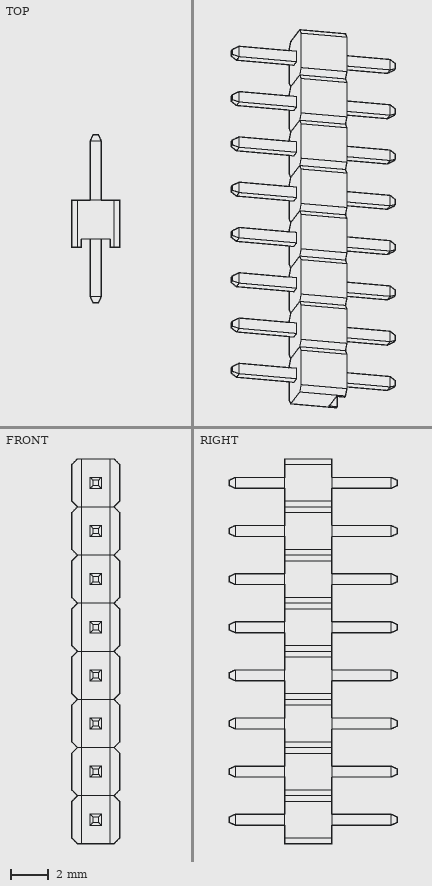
import cadquery as cq

contact_count = 8
row_length = 20.32
pitch = row_length / contact_count

block_side = pitch
block_depth = 2.5
corner_bevel = 0.3

channel_width = 1.52
channel_depth = 0.45

pin_side = 0.59
pin_length = 8.88
front_reach = 2.93
tip_length = 0.33
tip_side = 0.28

pin_front = -front_reach
pin_back = pin_front + pin_length


def make_block():
    """Bevelled square block with the channel cut in its front face."""
    block = (
        cq.Workplane("XY")
        .box(block_side, block_depth, block_side, centered=(True, False, True))
        .edges("|Y")
        .chamfer(corner_bevel)
    )
    channel = cq.Workplane("XY").box(
        channel_width, channel_depth, block_side, centered=(True, False, True)
    )
    return block.cut(channel)


def make_pin():
    """Square shank tapered at both ends: one tapered outline seen along Z, crossed with the same along X."""
    shank_front = pin_front + tip_length
    shank_back = pin_back - tip_length
    half_outline = [
        (tip_side / 2, pin_front),
        (pin_side / 2, shank_front),
        (pin_side / 2, shank_back),
        (tip_side / 2, pin_back),
    ]
    other_half = [(-x, y) for x, y in reversed(half_outline)]
    bar = (
        cq.Workplane("XY")
        .polyline(half_outline + other_half)
        .close()
        .extrude(pin_side / 2, both=True)
    )
    turned_bar = bar.rotate((0, 0, 0), (0, 1, 0), 90)
    return bar.intersect(turned_bar)


def make_contact(index):
    """One-piece block and pin at the given place in the row, counted from the bottom."""
    center_z = (index + 0.5) * pitch - row_length / 2
    return make_block().union(make_pin()).translate((0, 0, center_z))


contacts = [make_contact(index) for index in range(contact_count)]

result = cq.Compound.makeCompound([contact.solids().val() for contact in contacts])